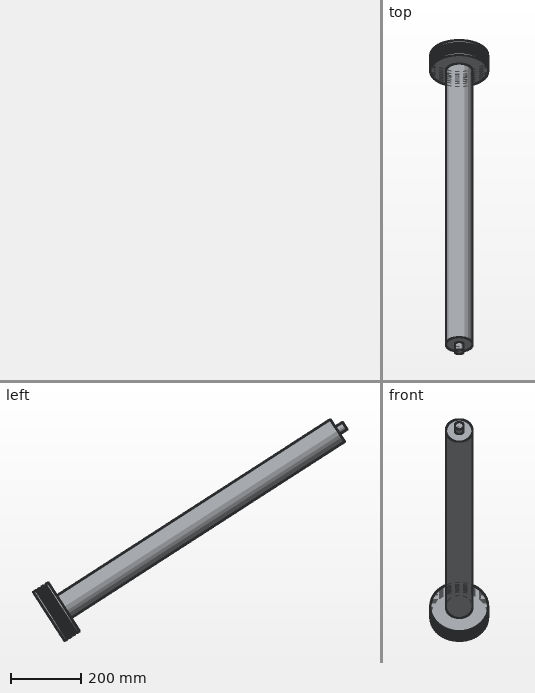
import cadquery as cq

tilt_angle = 32.8
total_length = 1001.0
head_diameter = 165.0
head_thickness = 51.0
shaft_diameter = 76.0
pin_diameter = 25.0
pin_length = 25.0

groove_count = 3
groove_width = 6.0
groove_depth = groove_width / 2
groove_pitch = 2 * groove_width

shaft_length = total_length - head_thickness - pin_length
head_radius = head_diameter / 2
cutter_overhang = 1.0



def cylinder(start, length, diameter):
    """Upright cylinder that begins at height start above the back of the head."""
    return cq.Workplane("XY").workplane(offset=start).circle(diameter / 2).extrude(length)


def ring_groove(center):
    """Ring cutter with a semicircular bottom, centred at the given height on the rim."""
    lower = center - groove_width / 2
    upper = center + groove_width / 2
    return (
        cq.Workplane("XZ")
        .moveTo(head_radius + cutter_overhang, lower)
        .lineTo(head_radius, lower)
        .threePointArc((head_radius - groove_depth, center), (head_radius, upper))
        .lineTo(head_radius + cutter_overhang, upper)
        .close()
        .revolve(360, (0, 0), (0, 1))
    )


def grooved_head():
    head = cylinder(0, head_thickness, head_diameter)
    for index in range(groove_count):
        offset_from_middle = (index - (groove_count - 1) / 2) * groove_pitch
        head = head.cut(ring_groove(head_thickness / 2 + offset_from_middle))
    return head


shaft = cylinder(head_thickness, shaft_length, shaft_diameter)
pin = cylinder(head_thickness + shaft_length, pin_length, pin_diameter)
upright_part = grooved_head().union(shaft).union(pin)

result = upright_part.rotate((0, 0, 0), (1, 0, 0), 90 - tilt_angle)